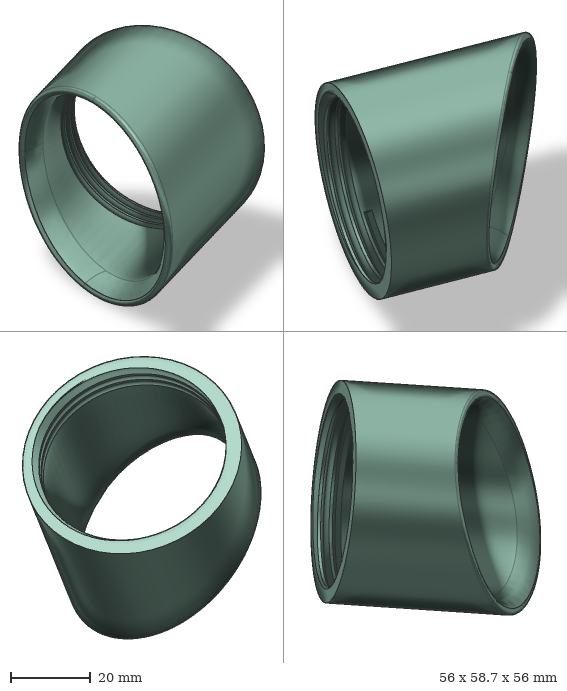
import cadquery as cq
import math


outer_radius = 28.0
bore_radius = 24.0
tip_length = 60.0
mouth_angle = 30.0
rim_fillet = 1.0

flare_radius = 10.0
flare_stations = 24

thread_pitch = 3.0
thread_opening = 2.15
thread_flank_angle = 60.0
thread_end_height = 8.3
thread_end_angle = -60.0
thread_turns = 4.0
overlap = 0.1

mouth_slope = math.tan(math.radians(mouth_angle))
mouth_center_height = tip_length - mouth_slope * outer_radius
flare_center_radius = bore_radius + flare_radius
flare_rise = math.sqrt(flare_radius**2 - (flare_center_radius - outer_radius) ** 2)
blank_radius = flare_center_radius + flare_radius
blank_length = tip_length + mouth_slope * blank_radius


def blank_end_point(rim_angle, radius):
    """Point on the blank's end for one point of the slanted outer rim.

    A ball of the flare radius touches the rim, the bore and the blank's end at once.
    """
    rim_height = mouth_center_height + mouth_slope * outer_radius * math.cos(rim_angle)
    ball_slope = -mouth_slope * outer_radius / flare_center_radius * math.sin(rim_angle)
    ball_drop = flare_rise / math.sqrt(1 + ball_slope**2 * flare_center_radius / outer_radius)
    ball_angle = rim_angle + math.asin(ball_slope * ball_drop / outer_radius)
    contact_rise = flare_radius / math.sqrt(1 + ball_slope**2)
    contact_angle = ball_angle - math.atan(ball_slope * contact_rise / flare_center_radius)
    contact_height = rim_height - ball_drop + contact_rise
    return cq.Vector(radius * math.cos(contact_angle), radius * math.sin(contact_angle), contact_height)


def blank_end_edge(radius):
    """Closed spline around the tube axis along the blank's end, starting at the short side."""
    points = []
    for station in range(flare_stations):
        rim_angle = math.pi + 2 * math.pi * station / flare_stations
        points.append(blank_end_point(rim_angle, radius))
    return cq.Edge.makeSpline(points, periodic=True)


def make_flared_blank():
    """Thick tube with a wavy end whose bore edge is rounded to form the flare."""
    blank = cq.Workplane("XY").circle(blank_radius).circle(bore_radius).extrude(blank_length)
    blank = blank.rotate((0, 0, 0), (0, 0, 1), -90)
    end_face = cq.Face.makeRuledSurface(
        blank_end_edge(bore_radius - flare_radius), blank_end_edge(blank_radius + flare_radius)
    )
    waste = cq.Solid.extrudeLinear(end_face, cq.Vector(0, 0, blank_length))
    blank = blank.cut(cq.Workplane(waste))
    bore_end = cq.selectors.BoxSelector(
        (-bore_radius - overlap, -bore_radius - overlap, overlap),
        (bore_radius + overlap, bore_radius + overlap, blank_length),
        boundingbox=True,
    )
    return blank.edges(bore_end).fillet(flare_radius)


def make_tube():
    """Flared blank turned down to the outside of the tube, with its mouth rim rounded."""
    outside = cq.Workplane("XY").circle(outer_radius).extrude(blank_length).rotate((0, 0, 0), (0, 0, 1), 90)
    tube = make_flared_blank().intersect(outside)
    return tube.edges(">Z").fillet(rim_fillet)


def make_thread_cutter():
    """V groove along a right-handed helix that ends inside the bore."""
    depth = thread_opening / 2 / math.tan(math.radians(thread_flank_angle / 2))
    half_base = thread_opening / 2 * (1 + overlap / depth)
    length = thread_turns * thread_pitch
    helix = cq.Wire.makeHelix(thread_pitch, length, bore_radius)
    groove = (
        cq.Workplane("XZ")
        .moveTo(bore_radius - overlap, -half_base)
        .lineTo(bore_radius + depth, 0)
        .lineTo(bore_radius - overlap, half_base)
        .close()
        .sweep(cq.Workplane(helix), isFrenet=True)
    )
    start_angle = thread_end_angle - 360 * thread_turns
    start_height = thread_end_height - length
    return groove.rotate((0, 0, 0), (0, 0, 1), start_angle).translate((0, 0, start_height))


body = make_tube().cut(make_thread_cutter())
result = body.rotate((0, 0, 0), (1, 0, 0), 90)